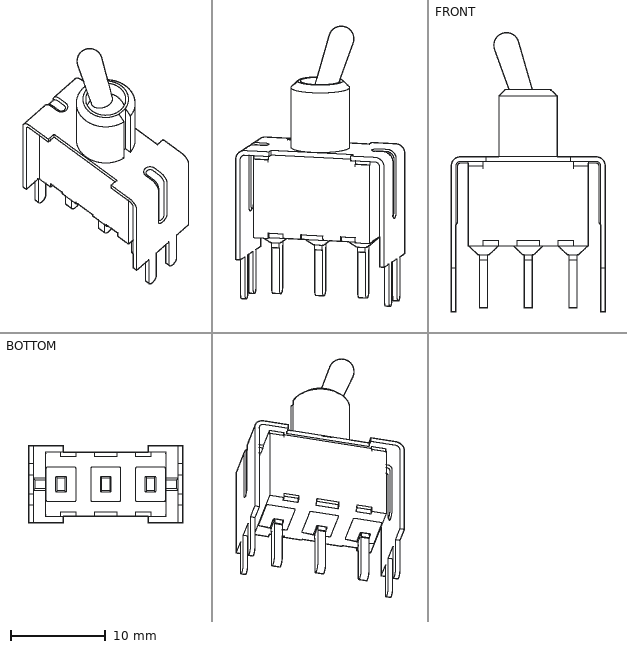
import cadquery as cq
import math


sheet = 0.5
bracket_length = 16.25
bracket_width = 8.13
bend_radius = 1.0
leg_depth = 11.75
notch_length = 8.95
neck_width = 6.35
prong_width = 1.18
prong_spacing = 3.18
prong_bottom = -16.37

bead_width = 1.35
bead_floor_width = 0.85
bead_depth = 0.18
bead_reach_down = 7.22
bead_end_x = 5.65

bushing_diameter = 6.2
bushing_height = 7.1
bushing_chamfer = 0.7
key_slot_width = 1.0
key_slot_start = 2.35

ball_diameter = 4.2
ball_height = 4.65
lever_tilt = 18.0
lever_top = 13.08
tip_diameter = 2.68
stem_base_diameter = 2.18

housing_length = 12.65
housing_width = 6.77
housing_bottom = -9.42
frame_length = 9.55
frame_round = 0.75
ledge_bottom = -1.0
ledge_setback = 0.15
foot_height = 0.55
foot_setback = 0.45
foot_round = 0.47
center_foot_width = 2.41
outer_foot_width = 1.62

terminal_pitch = 4.7
terminal_thickness = 0.85
terminal_width = 1.35
terminal_bottom = -15.93
shoulder_bottom = -10.9
shoulder_width = 1.6
seal_length = 3.12
seal_width = 3.65
seal_height = 0.95
seal_taper = 46.5
seal_edge_round = 0.25


def box(length, width, bottom, top, x=0, y=0):
    """Box centred on (x, y) between two heights."""
    return (
        cq.Workplane("XY", origin=(x, y, bottom))
        .rect(length, width)
        .extrude(top - bottom)
    )


def round_ended_blade(thickness, width, bottom, top, x, y):
    """Flat blade, thin along X, with a full round at its lower end."""
    radius = width / 2
    return (
        cq.Workplane("YZ", origin=(x - thickness / 2, 0, 0))
        .moveTo(y - radius, top)
        .lineTo(y - radius, bottom + radius)
        .threePointArc((y, bottom), (y + radius, bottom + radius))
        .lineTo(y + radius, top)
        .close()
        .extrude(thickness)
    )


def both_sides(shape, plane):
    """The shape joined with its mirror image."""
    return shape.union(shape.mirror(plane))


def bead(inset):
    """Round-ended bead over the -X bend, starting at a depth below the outer sheet surface."""
    leg_x = -bracket_length / 2 + inset
    plate_z = -inset
    radius = bend_radius - inset
    half_wide = bead_width / 2
    half_floor = bead_floor_width / 2
    leg_end = -bead_reach_down + half_wide
    plate_end = -bead_end_x - half_wide

    section = (
        cq.Workplane("XY", origin=(0, 0, leg_end))
        .polyline([
            (leg_x, -half_wide),
            (leg_x + bead_depth, -half_floor),
            (leg_x + bead_depth, half_floor),
            (leg_x, half_wide),
        ])
        .close()
    )
    bend_mid = radius * (1 - math.sqrt(0.5))
    path = (
        cq.Workplane("XZ")
        .moveTo(leg_x, leg_end)
        .lineTo(leg_x, plate_z - radius)
        .threePointArc((leg_x + bend_mid, plate_z - bend_mid), (leg_x + radius, plate_z))
        .lineTo(plate_end, plate_z)
    )
    leg_cone = cq.Solid.makeCone(
        half_wide, half_floor, bead_depth, cq.Vector(leg_x, 0, leg_end), cq.Vector(1, 0, 0)
    )
    plate_cone = cq.Solid.makeCone(
        half_wide, half_floor, bead_depth, cq.Vector(plate_end, 0, plate_z), cq.Vector(0, 0, -1)
    )
    return section.sweep(path).union(leg_cone).union(plate_cone)


def make_bracket():
    outer = box(bracket_length, bracket_width, -leg_depth, 0)
    outer = outer.edges("|Y and >Z").fillet(bend_radius)
    inner = box(bracket_length - 2 * sheet, bracket_width, -leg_depth, -sheet)
    inner = inner.edges("|Y and >Z").fillet(bend_radius - sheet)
    bracket = outer.cut(inner)

    notch_depth = (bracket_width - neck_width) / 2
    notch_y = (neck_width + notch_depth) / 2
    for side in (-1, 1):
        bracket = bracket.cut(box(notch_length, notch_depth, -sheet, 0, y=side * notch_y))

    for side in (-1, 1):
        leg_x = side * (bracket_length - sheet) / 2
        for end in (-1, 1):
            prong_y = end * prong_spacing / 2
            bracket = bracket.union(
                round_ended_blade(sheet, prong_width, prong_bottom, -leg_depth, leg_x, prong_y)
            )

    ridges = both_sides(bead(sheet), "YZ")
    grooves = both_sides(bead(0), "YZ")
    return bracket.union(ridges).cut(grooves)


def make_bushing():
    bushing = cq.Workplane("XY").circle(bushing_diameter / 2).extrude(bushing_height)
    bushing = bushing.faces(">Z").chamfer(bushing_chamfer)
    slot_length = bushing_diameter / 2 - key_slot_start
    slot_x = key_slot_start + slot_length / 2
    return bushing.cut(box(slot_length, key_slot_width, 0, bushing_height, x=slot_x))


def make_lever_socket():
    """Bore with a hemispherical seat that matches the lever ball."""
    bore = cq.Workplane("XY", origin=(0, 0, ball_height)).circle(ball_diameter / 2)
    bore = bore.extrude(bushing_height - ball_height)
    return bore.union(make_ball())


def top_edge_cut():
    """Rounded frame edge and the shallow ledges beside it, along the -Y side."""
    front = -housing_width / 2
    rounding = (
        cq.Workplane("YZ", origin=(-frame_length / 2, 0, 0))
        .moveTo(front, -sheet)
        .lineTo(front, -sheet - frame_round)
        .radiusArc((front + frame_round, -sheet), frame_round)
        .close()
        .extrude(frame_length)
    )
    ledge_length = (housing_length - frame_length) / 2
    ledge_x = (frame_length + ledge_length) / 2
    ledge_y = front + ledge_setback / 2
    ledge = box(ledge_length, ledge_setback, ledge_bottom, -sheet, ledge_x, ledge_y)
    return rounding.union(both_sides(ledge, "YZ"))


def bottom_edge_cut():
    """Set-back feet and the rounded edges between them, along the -Y side."""
    front = -housing_width / 2
    foot_y = front + foot_setback / 2
    foot_top = housing_bottom + foot_height
    outer_x = (frame_length - outer_foot_width) / 2
    cutter = box(center_foot_width, foot_setback, housing_bottom, foot_top, y=foot_y)
    for side in (-1, 1):
        cutter = cutter.union(
            box(outer_foot_width, foot_setback, housing_bottom, foot_top, side * outer_x, foot_y)
        )
    rounding = (
        cq.Workplane("YZ", origin=(-frame_length / 2, 0, 0))
        .moveTo(front, housing_bottom)
        .lineTo(front, housing_bottom + foot_round)
        .radiusArc((front + foot_round, housing_bottom), -foot_round)
        .close()
        .extrude(frame_length)
    )
    return cutter.union(rounding)


def make_housing():
    housing = box(housing_length, housing_width, housing_bottom, -sheet)
    housing = housing.cut(both_sides(top_edge_cut(), "XZ"))
    return housing.cut(both_sides(bottom_edge_cut(), "XZ"))


def make_terminal(x):
    """Terminal blade with its wider shoulder and tapered seal."""
    seal = (
        cq.Workplane("XY", origin=(x, 0, housing_bottom))
        .rect(seal_length, seal_width)
        .extrude(-seal_height, taper=seal_taper)
        .edges("not #Z")
        .fillet(seal_edge_round)
    )
    shoulder = box(terminal_thickness, shoulder_width, shoulder_bottom, housing_bottom, x)
    blade = round_ended_blade(
        terminal_thickness, terminal_width, terminal_bottom, shoulder_bottom, x, 0
    )
    return seal.union(shoulder).union(blade)


def make_switch_body():
    body = make_bracket().union(make_housing()).union(make_bushing())
    for index in (-1, 0, 1):
        body = body.union(make_terminal(index * terminal_pitch))
    return body.cut(make_lever_socket())


def make_ball():
    return cq.Workplane("XY", origin=(0, 0, ball_height)).sphere(ball_diameter / 2)


def make_lever():
    """Ball and tapered round-tipped stem, tilted towards -X about the ball centre."""
    tip_radius = tip_diameter / 2
    tip_rise = lever_top - tip_radius - ball_height
    stem_length = tip_rise / math.cos(math.radians(lever_tilt))
    tip_z = ball_height + stem_length
    tip_mid = tip_radius * math.sqrt(0.5)
    stem = (
        cq.Workplane("XZ")
        .moveTo(0, ball_height)
        .lineTo(stem_base_diameter / 2, ball_height)
        .lineTo(tip_radius, tip_z)
        .threePointArc((tip_mid, tip_z + tip_mid), (0, tip_z + tip_radius))
        .close()
        .revolve(360, (0, 0, 0), (0, 1, 0))
        .rotate((0, 0, ball_height), (0, 1, ball_height), -lever_tilt)
    )
    return make_ball().union(stem)


switch_body = make_switch_body()
lever = make_lever()

result = cq.Compound.makeCompound([switch_body.solids().val(), lever.solids().val()])